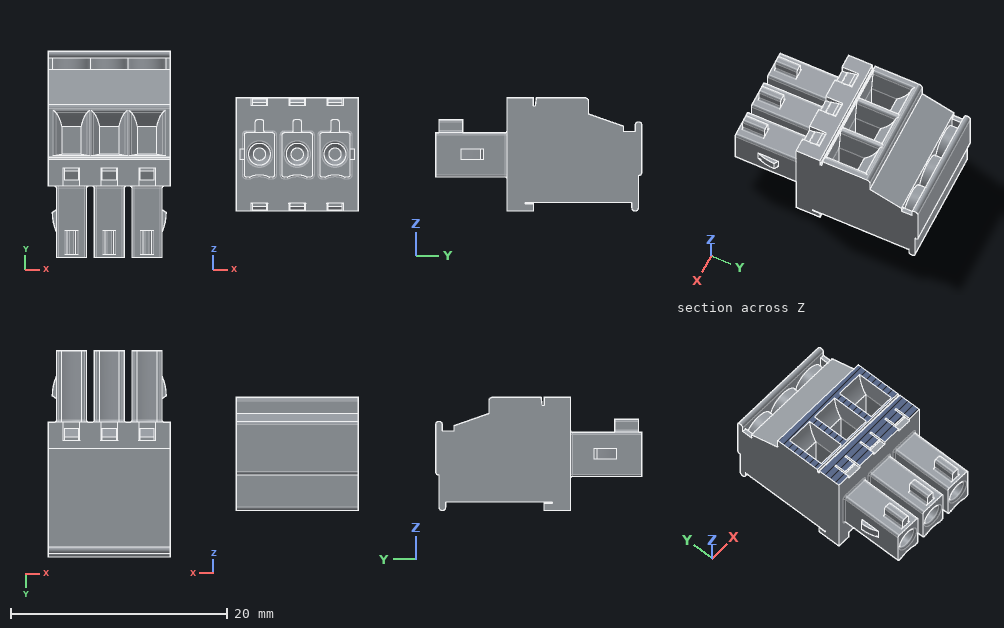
import cadquery as cq


pole_pitch = 3.5
pole_centres = [-pole_pitch, 0, pole_pitch]
housing_width = 11.3
housing_height = 10.5
housing_back = 12.5
shoulder_y = 7.56
shoulder_z = 9.0
shoulder_radius = 0.36
slope_back_y = 10.8
slope_back_z = 7.87
channel_z = 7.37
hump_radius = 1.75
lip_width = 0.63
lip_radius = lip_width / 2
lip_top = 8.27
lip_bottom = 3.29
lip_inner_y = housing_back - lip_width
tail_back_y = housing_back - lip_radius
tail_inner_y = tail_back_y - lip_width
underside_z = 0.78
foot_back_y = 2.46

groove_front_y = 2.45
groove_top_width = 0.27
groove_bottom_width = 0.17
groove_depth = 0.76
slit_height = 0.08

recess_width = 1.53
recess_length = 1.7
recess_depth = 0.75
wedge_width = 1.3
wedge_front_y = 0.57
wedge_crest_y = 1.4
wedge_low_depth = 0.44
wedge_high_depth = 0.11

funnel_width = 3.38
funnel_front_y = 2.83
funnel_back_y = 7.05
funnel_rim = 0.25
funnel_depth = 2.02
funnel_bend_y = 6.35
funnel_bend_depth = 1.18
wire_hole_width = 1.8
wire_hole_front_y = 2.96
wire_hole_back_y = 5.54

plug_width = 2.8
plug_length = 6.6
plug_bottom = 3.15
plug_top = 7.25
plug_edge_radius = 0.21
plug_root_radius = 0.17
select_margin = 0.02
scoop_width = 1.83
scoop_depth = 0.21

bore_z = 5.27
bore_radius = 1.01
bore_mouth_radius = 1.22
bore_end_radius = 0.57
bore_straight_end = 1.03
bore_end = 1.6

key_width = 0.78
key_top = 8.46
key_front_y = -6.3
key_back_y = -4.09
key_radius = 0.2

latch_reach = 0.38
latch_back_y = -2.18
latch_peak_y = -2.43
latch_front_y = -4.24
latch_height = 0.95


def box(x0, x1, y0, y1, z0, z1):
    return cq.Workplane("XY").box(x1 - x0, y1 - y0, z1 - z0, centered=False).translate((x0, y0, z0))


def along_x(sketch, width):
    """Extrude a closed (Y, Z) outline symmetrically about X=0."""
    return sketch.extrude(width / 2, both=True)


def make_housing():
    """Side outline of the housing, running from the front face over the top to the rear lip and back."""
    outline = (
        cq.Workplane("YZ")
        .moveTo(0, 0)
        .lineTo(0, housing_height)
        .lineTo(shoulder_y - shoulder_radius, housing_height)
        .radiusArc((shoulder_y, housing_height - shoulder_radius), shoulder_radius)
        .lineTo(shoulder_y, shoulder_z)
        .lineTo(slope_back_y, slope_back_z)
        .lineTo(slope_back_y, channel_z)
        .lineTo(lip_inner_y, channel_z)
        .lineTo(lip_inner_y, lip_top - lip_radius)
        .threePointArc((lip_inner_y + lip_radius, lip_top), (housing_back, lip_top - lip_radius))
        .lineTo(housing_back, lip_bottom + lip_radius)
        .radiusArc((tail_back_y, lip_bottom), lip_radius)
        .lineTo(tail_back_y, lip_radius)
        .threePointArc((tail_back_y - lip_radius, 0), (tail_inner_y, lip_radius))
        .lineTo(tail_inner_y, underside_z)
        .lineTo(foot_back_y, underside_z)
        .lineTo(foot_back_y, 0)
        .close()
    )
    return along_x(outline, housing_width)


def make_groove():
    bottom_z = housing_height - groove_depth
    outline = cq.Workplane("YZ").polyline([
        (groove_front_y, bottom_z),
        (groove_front_y, housing_height),
        (groove_front_y + groove_top_width, housing_height),
        (groove_front_y + groove_bottom_width, bottom_z),
    ]).close()
    return along_x(outline, housing_width)


def make_slit():
    half_width = housing_width / 2
    return box(-half_width, half_width, recess_length, foot_back_y, underside_z - slit_height, underside_z)


def make_channel_hollows():
    """Material left out of the rear channel beside the three round screw housings."""
    hump_axis_z = channel_z - hump_radius
    channel_length = lip_inner_y - slope_back_y
    half_width = pole_pitch + hump_radius
    hollows = box(-half_width, half_width, slope_back_y, lip_inner_y, hump_axis_z, channel_z)
    hump = (
        cq.Workplane("XZ", origin=(0, lip_inner_y, hump_axis_z))
        .circle(hump_radius)
        .extrude(channel_length)
    )
    for x in pole_centres:
        hollows = hollows.cut(hump.translate((x, 0, 0)))
    return hollows


def make_latch_recess():
    """Recess at the top front edge, with a ramped wedge left standing inside it."""
    floor_z = housing_height - recess_depth
    recess = box(-recess_width / 2, recess_width / 2, 0, recess_length, floor_z, housing_height)
    wedge = along_x(
        cq.Workplane("YZ").polyline([
            (wedge_front_y, floor_z),
            (wedge_front_y, housing_height - wedge_low_depth),
            (wedge_crest_y, housing_height - wedge_high_depth),
            (recess_length, housing_height - wedge_high_depth),
            (recess_length, floor_z),
        ]).close(),
        wedge_width,
    )
    return recess.cut(wedge)


def make_funnel():
    """Wire entry: the side profile and the cross profile intersected, with a plain hole below."""
    bottom_z = housing_height - funnel_depth
    rim_z = housing_height - funnel_rim
    side_profile = along_x(
        cq.Workplane("YZ")
        .moveTo(funnel_front_y, housing_height)
        .lineTo(wire_hole_front_y, bottom_z)
        .lineTo(wire_hole_back_y, bottom_z)
        .threePointArc(
            (funnel_bend_y, housing_height - funnel_bend_depth), (funnel_back_y - funnel_rim, rim_z)
        )
        .radiusArc((funnel_back_y, housing_height), funnel_rim)
        .close(),
        funnel_width,
    )
    half_top = funnel_width / 2
    half_hole = wire_hole_width / 2
    cross_profile = (
        cq.Workplane("XZ", origin=(0, funnel_back_y, 0))
        .moveTo(-half_top, housing_height)
        .radiusArc((-half_top + funnel_rim, rim_z), funnel_rim)
        .lineTo(-half_hole, bottom_z)
        .lineTo(half_hole, bottom_z)
        .lineTo(half_top - funnel_rim, rim_z)
        .radiusArc((half_top, housing_height), funnel_rim)
        .close()
        .extrude(funnel_back_y - funnel_front_y)
    )
    wire_hole = box(-half_hole, half_hole, wire_hole_front_y, wire_hole_back_y, bore_z, bottom_z)
    return side_profile.intersect(cross_profile).union(wire_hole)


def make_plug():
    half_width = plug_width / 2
    plug = box(-half_width, half_width, -plug_length, 0, plug_bottom, plug_top)
    plug = plug.edges("|Y").fillet(plug_edge_radius)
    scoop = (
        cq.Workplane("XZ")
        .moveTo(-scoop_width / 2, plug_bottom)
        .threePointArc((0, plug_bottom + scoop_depth), (scoop_width / 2, plug_bottom))
        .close()
        .extrude(plug_length)
    )
    return plug.cut(scoop)


def make_key():
    """Coding key with rounded top edges and flared, concave-rounded foot edges."""
    half_width = key_width / 2
    foot_half_width = half_width + key_radius
    return (
        cq.Workplane("XZ", origin=(0, key_back_y, 0))
        .moveTo(-foot_half_width, plug_top)
        .radiusArc((-half_width, plug_top + key_radius), -key_radius)
        .lineTo(-half_width, key_top - key_radius)
        .radiusArc((-half_width + key_radius, key_top), key_radius)
        .lineTo(half_width - key_radius, key_top)
        .radiusArc((half_width, key_top - key_radius), key_radius)
        .lineTo(half_width, plug_top + key_radius)
        .radiusArc((foot_half_width, plug_top), -key_radius)
        .close()
        .extrude(key_back_y - key_front_y)
    )


def make_bore():
    """Contact bore: rounded mouth, straight length, then a taper to a flat end."""
    rounding = bore_mouth_radius - bore_radius
    return (
        cq.Workplane("YZ", origin=(0, -plug_length, bore_z))
        .lineTo(0, -bore_mouth_radius)
        .radiusArc((rounding, -bore_radius), rounding)
        .lineTo(bore_straight_end, -bore_radius)
        .lineTo(bore_end, -bore_end_radius)
        .lineTo(bore_end, 0)
        .close()
        .revolve(360, (0, 0, 0), (1, 0, 0))
    )


def make_side_latch():
    """Latch nose on the +X side: short ramp at the back, long arc towards the front."""
    root_x = pole_pitch + plug_width / 2
    peak_x = root_x + latch_reach
    arc_length = latch_peak_y - latch_front_y
    arc_radius = (arc_length**2 + latch_reach**2) / (2 * latch_reach)
    return (
        cq.Workplane("XY", origin=(0, 0, bore_z - latch_height / 2))
        .moveTo(root_x, latch_back_y)
        .lineTo(peak_x, latch_peak_y)
        .radiusArc((root_x, latch_front_y), arc_radius)
        .close()
        .extrude(latch_height)
    )


result = make_housing().cut(make_groove()).cut(make_slit()).cut(make_channel_hollows())

for x in pole_centres:
    result = result.union(make_plug().translate((x, 0, 0)))

root_half_width = pole_pitch + plug_width / 2 + select_margin
root_band = cq.selectors.BoxSelector(
    (-root_half_width, -select_margin, plug_bottom - select_margin),
    (root_half_width, select_margin, plug_top + select_margin),
)
result = result.edges(root_band).fillet(plug_root_radius)

top_recess = make_latch_recess()
bottom_recess = top_recess.mirror("XY", (0, 0, housing_height / 2))
for x in pole_centres:
    offset = (x, 0, 0)
    result = result.union(make_key().translate(offset))
    for cutter in (make_bore(), make_funnel(), top_recess, bottom_recess):
        result = result.cut(cutter.translate(offset))

side_latch = make_side_latch()
result = result.union(side_latch).union(side_latch.mirror("YZ"))